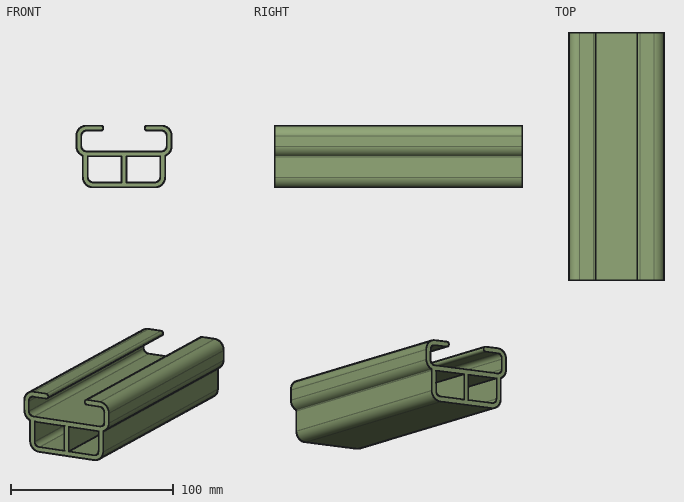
import math

import cadquery as cq

length = 152.4
height = 38.1
channel_width = 58.75
box_width = 50.8
wall = 3.175
slot_width = 25.4
outer_radius = 6.35
neck_radius = 0.79375

inner_radius = outer_radius - wall
floor_top = height / 2 + wall
floor_bottom = floor_top - wall
lip_bottom = height - wall
lip_radius = wall / 2
nose_x = slot_width / 2 + lip_radius
cell_width = (box_width - 3 * wall) / 2
cell_offset = (cell_width + wall) / 2

corner_center_x = channel_width / 2 - outer_radius
corner_center_z = floor_bottom + outer_radius
neck_z = corner_center_z - math.sqrt(outer_radius**2 - (box_width / 2 - corner_center_x) ** 2)


def bar(width, bottom, top, center_x=0.0):
    """Rectangular bar running the full length, centred on Y = 0."""
    block = cq.Workplane("XY").box(width, length, top - bottom)
    return block.translate((center_x, 0, (bottom + top) / 2))


def make_outside():
    """Outer envelope: rounded channel over a narrower box, blended at the two necks."""
    channel = bar(channel_width, floor_bottom, height).edges("|Y").fillet(outer_radius)
    box = bar(box_width, 0, floor_top).edges("|Y and <Z").fillet(outer_radius)
    envelope = channel.union(box)
    for side in (-1, 1):
        neck = cq.selectors.NearestToPointSelector((side * box_width / 2, 0, neck_z))
        envelope = envelope.edges("|Y").edges(neck).fillet(neck_radius)
    return envelope


def make_channel_void():
    """Open space inside the channel, rounded at its four corners."""
    void = bar(channel_width - 2 * wall, floor_top, lip_bottom)
    return void.edges("|Y").fillet(inner_radius)


def make_slot():
    """Opening through the channel top, with its sides hollowed to leave round lip noses."""
    slot = bar(2 * nose_x, lip_bottom, height)
    for side in (-1, 1):
        nose = (
            cq.Workplane("XZ", origin=(side * nose_x, 0, height - lip_radius))
            .circle(lip_radius)
            .extrude(length / 2, both=True)
        )
        slot = slot.cut(nose)
    return slot


def make_cell(side):
    """Void on one side of the centre web; only its outer bottom corner is rounded."""
    cell = bar(cell_width, wall, floor_bottom, side * cell_offset)
    outer_face = ">X" if side > 0 else "<X"
    return cell.faces(outer_face).edges("|Y and <Z").fillet(inner_radius)


result = make_outside().cut(make_channel_void()).cut(make_slot())
for side in (-1, 1):
    result = result.cut(make_cell(side))